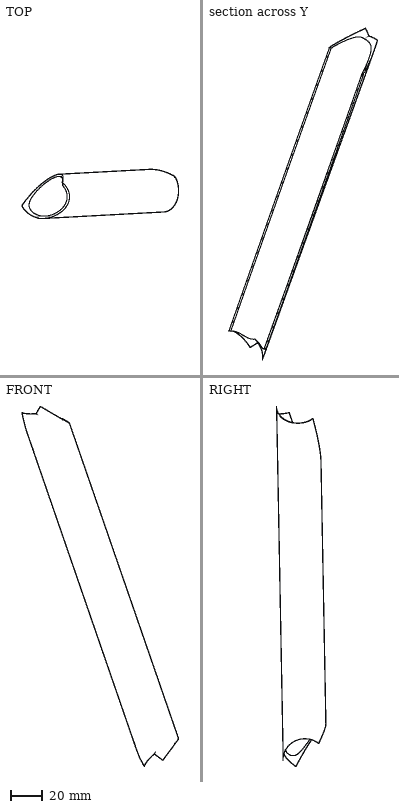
import cadquery as cq
import math

OUTER_DIAMETER = 28.0
WALL = 1.5
LEAN_X = -0.3459
LEAN_Y = -0.0187

TOP_NODE = 122.5
BOTTOM_NODE = 118.2

FRONT_AZIMUTH = -0.4
BACK_AZIMUTH = 114.6
TOP_FRONT_ANGLE = 80.6
TOP_BACK_ANGLE = 36.9
BOTTOM_FRONT_ANGLE = 111.5
BOTTOM_BACK_ANGLE = 55.6

OUTER_RADIUS = OUTER_DIAMETER / 2
NEIGHBOUR_LENGTH = 150.0


def cylinder_from(start, direction, length):
    """Solid cylinder of the tube's outer diameter."""
    return cq.Workplane(obj=cq.Solid.makeCylinder(OUTER_RADIUS, length, start, direction))


def neighbour_direction(azimuth, angle):
    """Unit vector leaving the upper node, tilted by angle away from the downward tube axis."""
    turn = math.radians(azimuth)
    tilt = math.radians(angle)
    return cq.Vector(math.sin(tilt) * math.cos(turn), math.sin(tilt) * math.sin(turn), -math.cos(tilt))


def end_cutters(node_height, front_angle, back_angle):
    """Solids removed at an upper end: both neighbours, and the core that their extensions share."""
    node = cq.Vector(0, 0, node_height)
    directions = [
        neighbour_direction(FRONT_AZIMUTH, front_angle),
        neighbour_direction(BACK_AZIMUTH, back_angle),
    ]
    neighbours = [cylinder_from(node, way, NEIGHBOUR_LENGTH) for way in directions]
    front_line, back_line = [
        cylinder_from(node - way * NEIGHBOUR_LENGTH, way, 2 * NEIGHBOUR_LENGTH) for way in directions
    ]
    return neighbours + [front_line.intersect(back_line)]


tube = (
    cq.Workplane("XY")
    .workplane(offset=-BOTTOM_NODE)
    .circle(OUTER_RADIUS)
    .circle(OUTER_RADIUS - WALL)
    .extrude(BOTTOM_NODE + TOP_NODE)
)
for cutter in end_cutters(TOP_NODE, TOP_FRONT_ANGLE, TOP_BACK_ANGLE):
    tube = tube.cut(cutter)
for cutter in end_cutters(BOTTOM_NODE, BOTTOM_FRONT_ANGLE, BOTTOM_BACK_ANGLE):
    tube = tube.cut(cutter.mirror("XY"))

axis = cq.Vector(LEAN_X, LEAN_Y, 1).normalized()
across = cq.Vector(1, 0, 0) - axis * axis.x
tube_frame = cq.Plane(origin=(0, 0, 0), xDir=across, normal=axis)
result = cq.Workplane(obj=tube.solids().val().moved(cq.Location(tube_frame)))